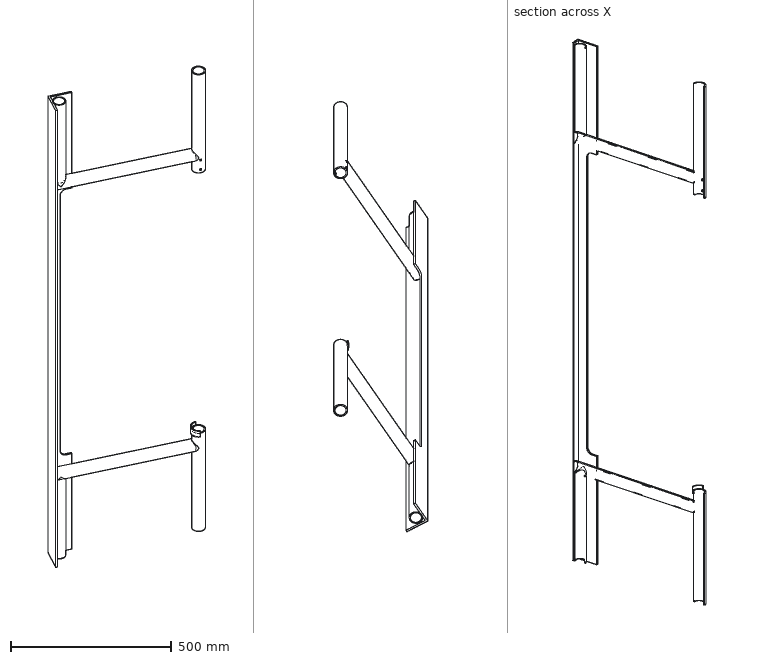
import cadquery as cq

post_height = 1829.0
leg_width = 77.0
leg_thickness = 6.4
notch_end_distance = 382.0
notched_leg_width = 38.0
notch_radius = 20.0

pipe_diameter = 42.0
pipe_bore = 35.0
pipe_radius = pipe_diameter / 2
handle_diameter = 44.0
handle_radius = handle_diameter / 2
pipe_x = leg_thickness + pipe_radius
corner_pipe_y = leg_thickness + pipe_radius
overall_depth = 508.0
handle_y = overall_depth - handle_radius
handle_length = 393.0
arm_end_distance = 333.0
corner_pipe_recess = 5.0

cross_hole_diameter = 6.4
hole_offsets = (13.0, 51.0)

sleeve_thickness = 4.0
sleeve_height = 24.0
sleeve_rise = 11.0
sleeve_setback = 2.0

mid_height = post_height / 2


def make_post():
    """L-shaped post whose side leg is notched along its middle."""
    front_leg = cq.Workplane("XY").box(leg_width, leg_thickness, post_height, centered=False)
    side_leg = cq.Workplane("XY").box(leg_thickness, leg_width, post_height, centered=False)
    notch_depth = 2 * (leg_width - notched_leg_width)
    notch = (
        cq.Workplane("XY")
        .box(leg_thickness, notch_depth, post_height - 2 * notch_end_distance, centered=False)
        .edges("<Y and |X")
        .fillet(notch_radius)
        .translate((0, notched_leg_width, notch_end_distance))
    )
    return front_leg.union(side_leg.cut(notch))


def upright_cylinder(diameter, y, length):
    return cq.Workplane("XY").center(pipe_x, y).circle(diameter / 2).extrude(length)


def make_handle():
    """Upright pipe standing on the base plane."""
    bore = upright_cylinder(pipe_bore, handle_y, handle_length)
    return upright_cylinder(handle_diameter, handle_y, handle_length).cut(bore)


def make_arm_rod():
    """Solid envelope of an arm, from the front leg to the handle axis."""
    return (
        cq.Workplane("XZ", origin=(pipe_x, leg_thickness, arm_end_distance))
        .circle(pipe_radius)
        .extrude(leg_thickness - handle_y)
    )


def make_arm():
    """Level pipe with its far end coped to fit the handle."""
    bore = (
        cq.Workplane("XZ", origin=(pipe_x, leg_thickness, arm_end_distance))
        .circle(pipe_bore / 2)
        .extrude(leg_thickness - handle_y)
    )
    cope = upright_cylinder(handle_diameter, handle_y, handle_length)
    return make_arm_rod().cut(bore).cut(cope)


def make_corner_pipe():
    """Upright pipe in the post corner, saddled onto the arm."""
    bore = upright_cylinder(pipe_bore, corner_pipe_y, arm_end_distance)
    pipe = upright_cylinder(pipe_diameter, corner_pipe_y, arm_end_distance).cut(bore)
    end_gap = upright_cylinder(pipe_diameter, corner_pipe_y, corner_pipe_recess)
    return pipe.cut(end_gap).cut(make_arm_rod())


def drill_cross_holes(handle):
    """Drill holes along X through both walls of the upper handle."""
    for offset in hole_offsets:
        drill = (
            cq.Workplane("YZ", origin=(0, handle_y, post_height - handle_length + offset))
            .circle(cross_hole_diameter / 2)
            .extrude(pipe_x + handle_radius)
        )
        handle = handle.cut(drill)
    return handle


def make_sleeve():
    """Half sleeve on the post side of the lower handle."""
    outer_radius = handle_radius + sleeve_thickness
    ring = (
        cq.Workplane("XY", origin=(pipe_x, handle_y, handle_length + sleeve_rise - sleeve_height))
        .circle(outer_radius)
        .circle(handle_radius)
        .extrude(sleeve_height)
    )
    post_side = (
        cq.Workplane("XY")
        .box(2 * outer_radius, outer_radius, post_height, centered=(True, False, False))
        .translate((pipe_x, handle_y - sleeve_setback - outer_radius, 0))
    )
    return ring.intersect(post_side)


def mirrored_to_top(body):
    return body.mirror("XY", (0, 0, mid_height))


post = make_post()
sleeve = make_sleeve()

pipes = []
for lower_pipe in (make_arm(), make_corner_pipe()):
    pipes.append(lower_pipe.val())
    pipes.append(mirrored_to_top(lower_pipe).val())

lower_handle = make_handle()
upper_handle = drill_cross_holes(mirrored_to_top(lower_handle))

result = cq.Compound.makeCompound(
    [post.val(), *pipes, lower_handle.val(), upper_handle.val(), sleeve.val()]
)